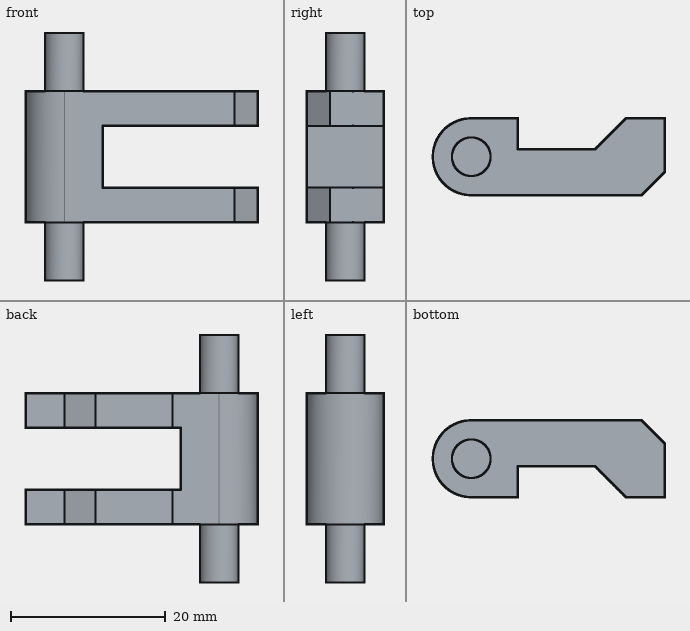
import cadquery as cq

pin_length = 32.0
pin_diameter = 5.0

lever_length = 30.0
lever_width = 10.0
lever_height = 17.0
barrel_radius = lever_width / 2
tip_x = lever_length - barrel_radius

recess_start_x = 6.0
recess_floor_length = 10.0
recess_depth = 4.0
recess_floor_y = barrel_radius - recess_depth
ramp_start_x = recess_start_x + recess_floor_length
ramp_end_x = ramp_start_x + recess_depth

tip_chamfer = 3.0

slot_height = 8.0
slot_start_x = barrel_radius


def make_lever():
    """Extrude the hooked outline, rounded about the pin axis."""
    return (
        cq.Workplane("XY")
        .workplane(offset=-lever_height / 2)
        .moveTo(0, -barrel_radius)
        .lineTo(tip_x - tip_chamfer, -barrel_radius)
        .lineTo(tip_x, -barrel_radius + tip_chamfer)
        .lineTo(tip_x, barrel_radius)
        .lineTo(ramp_end_x, barrel_radius)
        .lineTo(ramp_start_x, recess_floor_y)
        .lineTo(recess_start_x, recess_floor_y)
        .lineTo(recess_start_x, barrel_radius)
        .lineTo(0, barrel_radius)
        .threePointArc((-barrel_radius, 0), (0, -barrel_radius))
        .close()
        .extrude(lever_height)
    )


def make_slot():
    """Block open at the tip and through the full lever width."""
    return (
        cq.Workplane("XY")
        .box(tip_x - slot_start_x, lever_width, slot_height, centered=(False, True, True))
        .translate((slot_start_x, 0, 0))
    )


def make_pin():
    """Pin passing through the barrel and standing out at both ends."""
    return cq.Workplane("XY").circle(pin_diameter / 2).extrude(pin_length / 2, both=True)


result = make_lever().cut(make_slot()).union(make_pin())